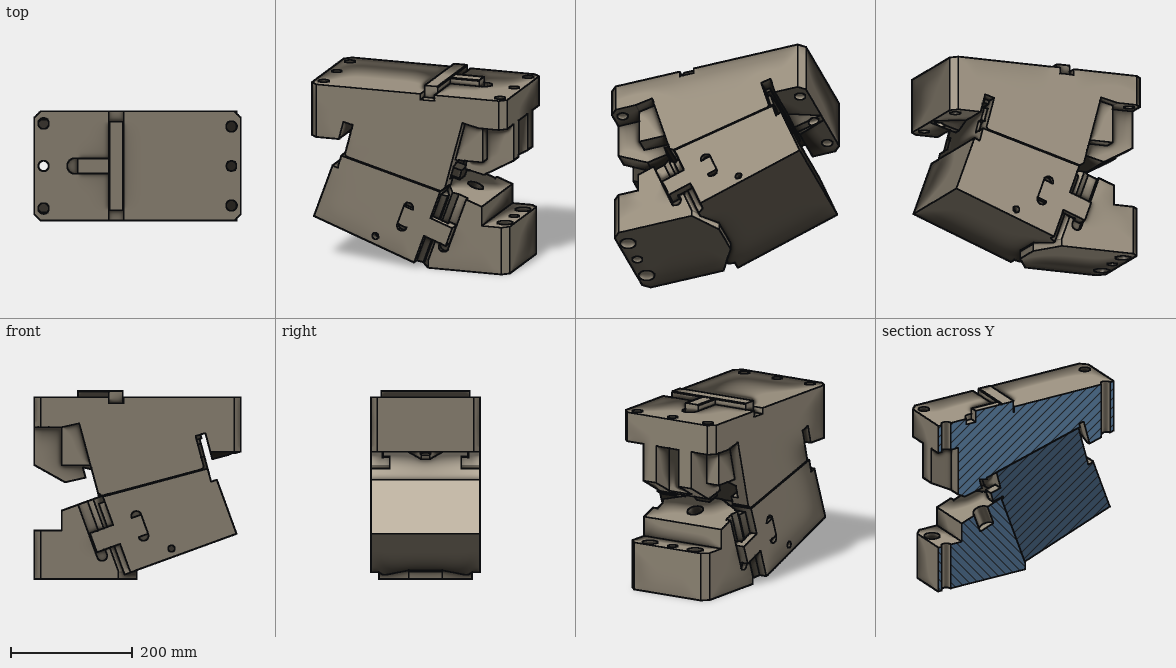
import cadquery as cq
import math


LENGTH = 340.0
WIDTH = 180.0
HALF_WIDTH = WIDTH / 2
HEIGHT = 309.0
KEY_HEIGHT = 10.2
HOLDER_TOP = HEIGHT - KEY_HEIGHT
CORNER_CHAMFER = 11.0
CLEAR = 204.0
OVERLAP = 3.5

SLIDE_ANGLE = 15.0
SLIDE_X, SLIDE_Z = 112.0, 136.7

DRIVE_ANGLE = 20.0
DRIVE_X, DRIVE_Z = 138.7, 12.2

PLATE_BOTTOM = 249.5
TAIL_BOTTOM = 209.0
RIB_START_X = 45.5
CHEEK_LEFT_P = -5.5
CHEEK_TOP_Q = 124.8
CHEEK_RIGHT_P = 173.7
CHEEK_CORNER_Q = 6.0
CHEEK_RADIUS = 5.0
SLOT_TOP_Q = 55.5
SLOT_RIGHT_P = 190.5
CEILING_END_P = 182.2

CHANNEL_HALF = 71.5
HEAD_HALF = 69.7
NECK_HALF = 58.8
LIP_TOP_Q = 19.0
HEAD_SIDE_Q = 40.8
HEAD_TOP_Q = 49.0
HEAD_TOP_HALF = 47.5
HEAD_LEFT_P = 14.0

HOOK_HALF = 47.5
HOOK_FRONT_Z = 187.5
HOOK_TIP_X, HOOK_TIP_Z = 51.0, 158.8
HOOK_RIGHT_P = -18.5
HOOK_RIGHT_Q = 35.7
HOOK_BACK_Q = 53.0
HOOK_HEEL_Q = 46.2
HOOK_RECESS_HALF = 22.0
HOOK_RECESS_DEPTH = 38.8
RIB_BOTTOM = 186.5

STOP_BOTTOM_Q = 11.2
STOP_BOTTOM_HALF = 6.8
STOP_SIDE_ANGLE = 30.0

KEY_LEFT_X = 122.7
KEY_GROOVE_WIDTH = 24.5
KEY_BAR_WIDTH = 23.0
KEY_BAR_HALF = 72.8
KEY_CHAMFER = 1.5
KEY_DEPTH = 10.0
TONGUE_LEFT_X = 72.0
TONGUE_HALF = 13.0
KEYWAY_END_X = 54.5

LEFT_HOLE_X, LEFT_HOLE_Y = 15.5, 69.7
RIGHT_HOLE_X, RIGHT_HOLE_Y = 324.5, 65.0
BOLT_DIAMETER = 17.7
DOWEL_DIAMETER = 16.5

DRIVER_HALF = 76.5
DRIVER_STEP_Z = 80.0
DRIVER_STEP_X = 45.2
DRIVER_TOP_W = 126.0
VEE_FLAT_HALF = 27.2
VEE_ANGLE = 30.0
VEE_DEPTH = (DRIVER_HALF - VEE_FLAT_HALF) * math.tan(math.radians(VEE_ANGLE))
DRIVER_BOLT_Y = 44.5
DRIVER_BOLT_DIAMETER = 26.0
TOP_HOLE_U = -14.0
TOP_HOLE_DIAMETER = 26.5
TOP_HOLE_DEPTH = 34.0

GROOVE_LEFT_U = -24.8
GROOVE_RIGHT_U = -8.0
GROOVE_END_W = 25.0
GROOVE_FLOOR_Y = 68.0

SLIDER_TOP_Q = -1.7
SLIDER_RIGHT_P = 179.2
SLIDER_STEP_Q = -23.8
SLIDER_EDGE_U = 18.0
SLIDER_RIGHT_U = 203.5
SLIDER_BOTTOM_W = -8.0
SLIDER_STEP_W = 86.7
NOSE_TIP_U = 7.8
NOSE_ROOT_HALF = 76.5
NOSE_TOP_W = 115.5
BOSS_HALF = 15.5
BOSS_BOTTOM_Q = 1.5
BOSS_CHAMFER = 3.5

ARM_LEFT_U, ARM_RIGHT_U = -22.5, 67.0
ARM_BOTTOM_W, ARM_TOP_W = 41.8, 75.0
ARM_INNER_Y = 77.5
HOOK_TOE_INNER_Y = 68.7
HOOK_TOE_RIGHT_U = -10.0
ARM_SEAT_U = 58.8
ARM_SEAT_WIDTH = 16.5
ARM_SEAT_LENGTH = 51.0
ARM_SEAT_DEPTH = 8.5
SIDE_HOLE_X, SIDE_HOLE_Z = 225.8, 50.0
SIDE_HOLE_DIAMETER = 11.0
SIDE_HOLE_DEPTH = 17.0


def cos_sin(angle):
    return math.cos(math.radians(angle)), math.sin(math.radians(angle))


def turned(x0, z0, angle, along, across):
    """X and Z of a point given in a frame turned by an angle in the XZ plane."""
    c, s = cos_sin(angle)
    return (x0 + along * c - across * s, z0 + along * s + across * c)


def slide_point(p, q):
    return turned(SLIDE_X, SLIDE_Z, SLIDE_ANGLE, p, q)


def drive_point(u, w):
    return turned(DRIVE_X, DRIVE_Z, DRIVE_ANGLE, u, w)


def slide_p_at(p, z):
    """Point of height z on the line of constant P."""
    c, s = cos_sin(SLIDE_ANGLE)
    return slide_point(p, (z - SLIDE_Z - p * s) / c)


def drive_w_at(w, x):
    """Point at a given X on the line of constant W."""
    c, s = cos_sin(DRIVE_ANGLE)
    return drive_point((x - DRIVE_X + w * s) / c, w)


def across_slab(points, half):
    """Prism of an XZ outline, centred on Y = 0."""
    return cq.Workplane("XZ").polyline(points).close().extrude(half, both=True)


def slide_prism(section, p_start, p_end):
    """Prism along the slide of a (Y, Q) section."""
    c, s = cos_sin(SLIDE_ANGLE)
    x, z = slide_point(p_start, 0)
    plane = cq.Plane(origin=(x, 0, z), xDir=(0, 1, 0), normal=(c, 0, s))
    return cq.Workplane(plane).polyline(section).close().extrude(p_end - p_start)


def slide_box(p0, p1, q0, q1, half):
    return slide_prism([(-half, q0), (half, q0), (half, q1), (-half, q1)], p0, p1)


def drive_section_plane(w, u=0.0):
    """Plane across the working face, with local axes U and Y, facing along +W."""
    c, s = cos_sin(DRIVE_ANGLE)
    x, z = drive_point(u, w)
    return cq.Plane(origin=(x, 0, z), xDir=(c, 0, s), normal=(-s, 0, c))


def drive_prism(section, w_start, w_end):
    """Prism along the working face of a (U, Y) section."""
    face = cq.Workplane(drive_section_plane(w_start)).polyline(section).close()
    return face.extrude(w_end - w_start)


def drive_box(u0, u1, y0, y1, w0, w1):
    return drive_prism([(u0, y0), (u1, y0), (u1, y1), (u0, y1)], w0, w1)


def drive_obround(u, w_low, w_high, width, y0, y1):
    """Obround block standing along W, from y0 to y1."""
    c, s = cos_sin(DRIVE_ANGLE)
    x, z = drive_point(u, (w_low + w_high) / 2)
    plane = cq.Plane(origin=(x, y1, z), xDir=(c, 0, s), normal=(0, -1, 0))
    return cq.Workplane(plane).slot2D(w_high - w_low, width, 90).extrude(y1 - y0)


def both_sides(shape):
    return shape.union(shape.mirror("XZ"))


def vertical_holes(places, diameter):
    return cq.Workplane("XY").pushPoints(places).circle(diameter / 2).extrude(HEIGHT)


def guide_section(half, low_q):
    """T-shaped (Y, Q) section with a roofed head."""
    right = [
        (NECK_HALF, low_q),
        (NECK_HALF, LIP_TOP_Q),
        (half, LIP_TOP_Q),
        (half, HEAD_SIDE_Q),
        (HEAD_TOP_HALF, HEAD_TOP_Q),
    ]
    return right + [(-y, q) for y, q in reversed(right)]



def holder_block():
    """Plate with the two cheeks and the slot behind them."""
    outline = [
        (0, HOLDER_TOP),
        (0, PLATE_BOTTOM),
        (RIB_START_X, PLATE_BOTTOM),
        slide_point(CHEEK_LEFT_P, CHEEK_TOP_Q),
        slide_point(CHEEK_LEFT_P, CHEEK_CORNER_Q),
        slide_point(0, 0),
        slide_point(CHEEK_RIGHT_P, 0),
        slide_point(CHEEK_RIGHT_P, SLOT_TOP_Q),
        slide_point(SLOT_RIGHT_P, SLOT_TOP_Q),
        slide_p_at(SLOT_RIGHT_P, TAIL_BOTTOM),
        (LENGTH, TAIL_BOTTOM),
        (LENGTH, HOLDER_TOP),
    ]
    block = across_slab(outline, HALF_WIDTH)
    x, z = slide_point(CHEEK_RIGHT_P, 0)
    corner = cq.selectors.NearestToPointSelector((x, 0, z))
    block = block.edges(corner).fillet(CHEEK_RADIUS)
    block = block.union(slide_box(CHEEK_RIGHT_P, CEILING_END_P, HEAD_TOP_Q, SLOT_TOP_Q + OVERLAP, HEAD_HALF))
    channel = guide_section(CHANNEL_HALF, -OVERLAP)
    return block.cut(slide_prism(channel, CHEEK_LEFT_P - OVERLAP, CEILING_END_P))


def holder_hook():
    """Central hook under the plate, with a recess in its front face."""
    hook = across_slab([
        (0, PLATE_BOTTOM),
        (0, HOOK_FRONT_Z),
        (HOOK_TIP_X, HOOK_TIP_Z),
        slide_point(HOOK_RIGHT_P, HOOK_RIGHT_Q),
        slide_point(HOOK_RIGHT_P, HOOK_BACK_Q),
        slide_point(CHEEK_LEFT_P, HOOK_HEEL_Q),
        slide_point(CHEEK_LEFT_P, CHEEK_TOP_Q),
    ], HOOK_HALF)
    recess = cq.Workplane("XY").box(
        HOOK_RECESS_DEPTH, 2 * HOOK_RECESS_HALF, PLATE_BOTTOM, centered=(False, True, False))
    return hook.cut(recess)


def holder_ribs():
    """Ribs on both sides of the hook, set back from the front."""
    ribs = across_slab([
        (RIB_START_X, PLATE_BOTTOM),
        (RIB_START_X, RIB_BOTTOM),
        slide_p_at(CHEEK_LEFT_P, RIB_BOTTOM),
        slide_point(CHEEK_LEFT_P, CHEEK_TOP_Q),
    ], CHANNEL_HALF)
    return ribs.cut(cq.Workplane("XY").box(LENGTH, 2 * HOOK_HALF, 2 * HEIGHT))


def holder_stop():
    """Stop block behind the slot, with sides that slope up to the tail."""
    side_run = (SLOT_TOP_Q - STOP_BOTTOM_Q) / math.tan(math.radians(STOP_SIDE_ANGLE))
    section = [
        (-STOP_BOTTOM_HALF - side_run, SLOT_TOP_Q),
        (-STOP_BOTTOM_HALF, STOP_BOTTOM_Q),
        (STOP_BOTTOM_HALF, STOP_BOTTOM_Q),
        (STOP_BOTTOM_HALF + side_run, SLOT_TOP_Q),
    ]
    inside = cq.Workplane("XY").box(LENGTH, WIDTH, HOLDER_TOP, centered=(False, True, False))
    return slide_prism(section, SLOT_RIGHT_P, LENGTH).intersect(inside)


def holder_keyway():
    """Cross groove and round-ended keyway in the top face."""
    floor = HOLDER_TOP - KEY_DEPTH
    groove = cq.Workplane("XY", origin=(KEY_LEFT_X, 0, floor)).box(
        KEY_GROOVE_WIDTH, WIDTH, KEY_DEPTH, centered=(False, True, False))
    keyway = cq.Workplane("XY", origin=(KEY_LEFT_X, 0, floor)).slot2D(
        2 * (KEY_LEFT_X - KEYWAY_END_X), 2 * TONGUE_HALF).extrude(KEY_DEPTH)
    left_half = cq.Workplane("XY").box(KEY_LEFT_X, WIDTH, HEIGHT, centered=(False, True, False))
    return groove.union(keyway.intersect(left_half))


def holder_key():
    """Cross bar and tongue standing in the keyway."""
    height = KEY_DEPTH + KEY_HEIGHT
    floor = HOLDER_TOP - KEY_DEPTH
    bar = cq.Workplane("XY", origin=(KEY_LEFT_X, 0, floor)).box(
        KEY_BAR_WIDTH, 2 * KEY_BAR_HALF, height, centered=(False, True, False))
    tongue = cq.Workplane("XY", origin=(TONGUE_LEFT_X, 0, floor)).box(
        KEY_LEFT_X - TONGUE_LEFT_X, 2 * TONGUE_HALF, height, centered=(False, True, False))
    bar = bar.edges("<X and >Z").chamfer(KEY_CHAMFER)
    tongue = tongue.edges("|X and >Z").chamfer(KEY_CHAMFER)
    return bar.union(tongue)


def make_holder():
    holder = holder_block().union(holder_hook()).union(holder_ribs()).union(holder_stop())
    plan = cq.Workplane("XY").rect(LENGTH, WIDTH).extrude(HEIGHT).edges("|Z").chamfer(CORNER_CHAMFER)
    holder = holder.intersect(plan.translate((LENGTH / 2, 0, 0)))
    bolts = [(x, side * y) for x, y in ((LEFT_HOLE_X, LEFT_HOLE_Y), (RIGHT_HOLE_X, RIGHT_HOLE_Y))
             for side in (-1, 1)]
    holder = holder.cut(vertical_holes(bolts, BOLT_DIAMETER))
    holder = holder.cut(vertical_holes([(LEFT_HOLE_X, 0), (RIGHT_HOLE_X, 0)], DOWEL_DIAMETER))
    return holder.cut(holder_keyway()).union(holder_key())



def vee_section(back_u, stretch=1.0):
    """Vee-shaped working face in plan, from a straight back to the flat crest."""
    return [
        (back_u, -DRIVER_HALF),
        (0, -DRIVER_HALF),
        (VEE_DEPTH * stretch, -VEE_FLAT_HALF),
        (VEE_DEPTH * stretch, VEE_FLAT_HALF),
        (0, DRIVER_HALF),
        (back_u, DRIVER_HALF),
    ]


def driver_block():
    """Stepped block, the sloping vee and the upright foot below it."""
    block = across_slab([
        (0, 0),
        (0, DRIVER_STEP_Z),
        (DRIVER_STEP_X, DRIVER_STEP_Z),
        drive_w_at(DRIVER_TOP_W, DRIVER_STEP_X),
        drive_point(0, DRIVER_TOP_W),
        (DRIVE_X, DRIVE_Z),
        (DRIVE_X, 0),
    ], DRIVER_HALF)
    block = block.edges("|Z and <X").chamfer(CORNER_CHAMFER)
    above_foot = cq.Workplane("XY", origin=(0, 0, DRIVE_Z)).box(
        LENGTH, WIDTH, HEIGHT, centered=(False, True, False))
    vee = drive_prism(vee_section(-OVERLAP), -VEE_DEPTH, DRIVER_TOP_W).intersect(above_foot)
    foot_stretch = 1 / math.cos(math.radians(DRIVE_ANGLE))
    foot = cq.Workplane("XY", origin=(DRIVE_X, 0, 0)).polyline(
        vee_section(-OVERLAP, foot_stretch)).close().extrude(DRIVE_Z)
    return block.union(vee).union(foot)


def return_grooves():
    """Round-ended side grooves; above the arm the right wall runs square to the vee face."""
    width = GROOVE_RIGHT_U - GROOVE_LEFT_U
    groove = drive_obround(
        GROOVE_LEFT_U + width / 2, GROOVE_END_W, CLEAR, width, GROOVE_FLOOR_Y, HALF_WIDTH)
    wall_run = (HALF_WIDTH - GROOVE_FLOOR_Y) / math.tan(math.radians(VEE_ANGLE))
    wall = drive_prism([
        (GROOVE_RIGHT_U, GROOVE_FLOOR_Y),
        (GROOVE_RIGHT_U + wall_run, HALF_WIDTH),
        (GROOVE_RIGHT_U, HALF_WIDTH),
    ], ARM_BOTTOM_W, CLEAR)
    return both_sides(groove.union(wall))


def make_driver():
    driver = driver_block().cut(return_grooves())
    bolts = [(LEFT_HOLE_X, side * DRIVER_BOLT_Y) for side in (-1, 1)]
    driver = driver.cut(vertical_holes(bolts, DRIVER_BOLT_DIAMETER))
    driver = driver.cut(vertical_holes([(LEFT_HOLE_X, 0)], DOWEL_DIAMETER))
    top_hole = cq.Workplane(drive_section_plane(DRIVER_TOP_W, TOP_HOLE_U))
    return driver.cut(top_hole.circle(TOP_HOLE_DIAMETER / 2).extrude(-TOP_HOLE_DEPTH))



def slider_block():
    """Full-width body behind the end faces, with the tapered nose in front of them."""
    body = across_slab([
        drive_point(SLIDER_EDGE_U, SLIDER_BOTTOM_W),
        drive_point(SLIDER_RIGHT_U, SLIDER_BOTTOM_W),
        drive_point(SLIDER_RIGHT_U, SLIDER_STEP_W),
        slide_point(SLIDER_RIGHT_P, SLIDER_STEP_Q),
        slide_point(SLIDER_RIGHT_P, SLIDER_TOP_Q),
        drive_point(SLIDER_EDGE_U, DRIVER_TOP_W),
    ], HALF_WIDTH)
    trim = slide_box(CHEEK_LEFT_P, SLIDER_RIGHT_P, SLIDER_TOP_Q, LIP_TOP_Q, HALF_WIDTH)
    nose_half = NOSE_ROOT_HALF - (SLIDER_EDGE_U - NOSE_TIP_U) * math.tan(math.radians(VEE_ANGLE))
    nose = drive_prism([
        (SLIDER_EDGE_U, -NOSE_ROOT_HALF),
        (NOSE_TIP_U, -nose_half),
        (NOSE_TIP_U, nose_half),
        (SLIDER_EDGE_U, NOSE_ROOT_HALF),
    ], SLIDER_BOTTOM_W, NOSE_TOP_W)
    vee = drive_prism(vee_section(GROOVE_LEFT_U), -CLEAR, CLEAR)
    return body.cut(trim).union(nose).cut(vee)


def slider_head():
    """Roofed T-shaped head and its front boss."""
    head = slide_prism(guide_section(HEAD_HALF, SLIDER_TOP_Q - OVERLAP), HEAD_LEFT_P, SLIDER_RIGHT_P)
    boss = slide_prism([
        (-BOSS_HALF, LIP_TOP_Q),
        (-BOSS_HALF, BOSS_BOTTOM_Q + BOSS_CHAMFER),
        (-BOSS_HALF + BOSS_CHAMFER, BOSS_BOTTOM_Q),
        (BOSS_HALF - BOSS_CHAMFER, BOSS_BOTTOM_Q),
        (BOSS_HALF, BOSS_BOTTOM_Q + BOSS_CHAMFER),
        (BOSS_HALF, LIP_TOP_Q),
    ], CHEEK_LEFT_P, HEAD_LEFT_P)
    return head.union(boss)


def return_arms():
    """Side arms with toes that reach into the driver's grooves."""
    arm = drive_box(ARM_LEFT_U, ARM_RIGHT_U, ARM_INNER_Y, HALF_WIDTH, ARM_BOTTOM_W, ARM_TOP_W)
    toe = drive_box(
        ARM_LEFT_U, HOOK_TOE_RIGHT_U, HOOK_TOE_INNER_Y, HALF_WIDTH, ARM_BOTTOM_W, ARM_TOP_W)
    return both_sides(arm.union(toe))


def arm_seats():
    """Round-ended pockets across the inner end of each arm."""
    middle_w = (ARM_BOTTOM_W + ARM_TOP_W) / 2
    seat = drive_obround(
        ARM_SEAT_U, middle_w - ARM_SEAT_LENGTH / 2, middle_w + ARM_SEAT_LENGTH / 2,
        ARM_SEAT_WIDTH, HALF_WIDTH - ARM_SEAT_DEPTH, HALF_WIDTH)
    return both_sides(seat)


def side_holes():
    hole = cq.Workplane("XZ", origin=(SIDE_HOLE_X, HALF_WIDTH, SIDE_HOLE_Z))
    return both_sides(hole.circle(SIDE_HOLE_DIAMETER / 2).extrude(SIDE_HOLE_DEPTH))


def make_slider():
    slider = slider_block().union(slider_head())
    return slider.cut(arm_seats()).union(return_arms()).cut(side_holes())


holder = make_holder()
driver = make_driver()
slider = make_slider()

result = cq.Compound.makeCompound([
    holder.solids().val(),
    driver.solids().val(),
    slider.solids().val(),
])